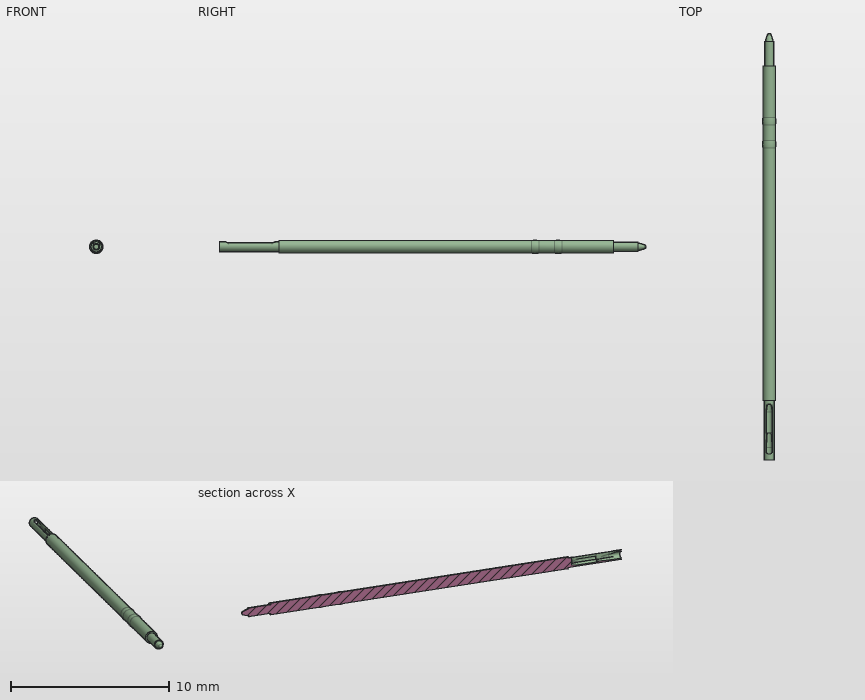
import cadquery as cq

total_length = 27.0
tail_length = 3.77
plunger_exposed = 2.05
nose_length = 0.5
cap_length = 0.1
collar_width = 0.48
collar_gap = 0.98
front_collar_setback = 3.27

barrel_diameter = 0.8
collar_diameter = 0.86
tail_diameter = 0.65
plunger_diameter = 0.6
nose_base_diameter = 0.5
nose_middle_diameter = 0.4
nose_tip_diameter = 0.26

bore_diameter = 0.43
mouth_length = 0.8
throat_length = 0.93
throat_narrow_diameter = 0.34
pocket_end = 3.05
bore_depth = 3.55
bore_end_diameter = 0.32

slot_width = 0.38
slot_start = 0.38
slot_length = 3.15
slot_floor = -0.12

barrel_radius = barrel_diameter / 2
barrel_mouth = total_length - plunger_exposed
nose_base = total_length - nose_length
cap_base = total_length - cap_length
front_collar_start = barrel_mouth - front_collar_setback - collar_width
cap_radius = ((nose_tip_diameter / 2) ** 2 + cap_length**2) / (2 * cap_length)
rear_collar_start = front_collar_start - collar_gap - collar_width


def turned(outline):
    """Revolve a closed half outline about the Y axis."""
    return outline.close().revolve(360, (0, 0, 0), (0, 1, 0))


def make_body():
    """Tail, barrel with two rounded collars, plunger and its domed nose."""
    outline = (
        cq.Workplane("XY")
        .lineTo(-tail_diameter / 2, 0)
        .lineTo(-tail_diameter / 2, tail_length)
        .lineTo(-barrel_radius, tail_length)
    )
    for start in (rear_collar_start, front_collar_start):
        outline = outline.lineTo(-barrel_radius, start).threePointArc(
            (-collar_diameter / 2, start + collar_width / 2),
            (-barrel_radius, start + collar_width),
        )
    outline = (
        outline.lineTo(-barrel_radius, barrel_mouth)
        .lineTo(-plunger_diameter / 2, barrel_mouth)
        .lineTo(-plunger_diameter / 2, nose_base)
        .lineTo(-nose_base_diameter / 2, nose_base)
        .threePointArc(
            (-nose_middle_diameter / 2, (nose_base + cap_base) / 2),
            (-nose_tip_diameter / 2, cap_base),
        )
        .radiusArc((0, total_length), cap_radius)
    )
    return turned(outline)


def make_bore():
    """Stepped cavity on the probe axis, open at the tail end."""
    bore_radius = bore_diameter / 2
    throat_end = mouth_length + throat_length
    return turned(
        cq.Workplane("XY")
        .lineTo(-bore_radius, 0)
        .lineTo(-bore_radius, mouth_length)
        .lineTo(-throat_narrow_diameter / 2, throat_end)
        .lineTo(-bore_radius, throat_end)
        .lineTo(-bore_radius, pocket_end)
        .lineTo(-bore_end_diameter / 2, bore_depth)
        .lineTo(0, bore_depth)
    )


def make_slot():
    """Round-ended window cut from above, reaching slightly below the probe axis."""
    return (
        cq.Workplane("XY", origin=(0, slot_start + slot_length / 2, slot_floor))
        .slot2D(slot_length, slot_width, 90)
        .extrude(tail_diameter)
    )


result = make_body().cut(make_bore()).cut(make_slot())